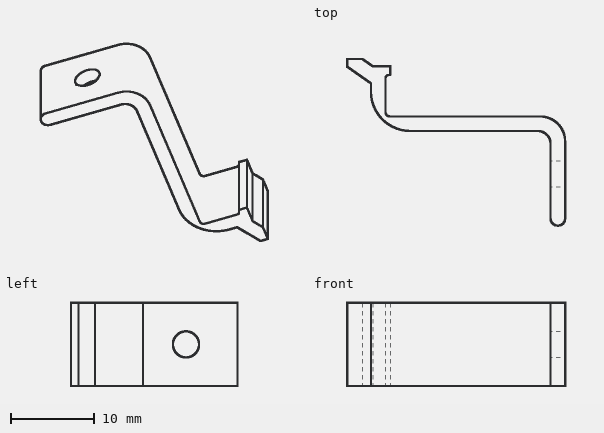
import cadquery as cq
import math

length = 26.1
depth = 19.97
height = 10.0

thickness = 1.78
wall_x = 2.82
wall_inner_x = wall_x + thickness
web_y = 11.33
web_back_y = web_y + thickness
leg_x = length - thickness

hook_outer_radius = 4.75
hook_inner_radius = 0.5
leg_inner_radius = 1.5
leg_outer_radius = 3.0
tip_radius = thickness / 2

nose_height = 0.95
nose_top_width = 1.83
head_step = 0.85
nose_angle = math.radians(35)
lip_width = 0.57
lip_height = 1.07
lip_root_radius = 0.37
lip_edge_radius = 0.15

hole_diameter = 3.1
hole_y = 6.2

head_y = depth - head_step
lip_x = wall_inner_x + lip_width
lip_under_y = head_y - lip_height
step_x = nose_top_width + head_step / math.tan(nose_angle)
nose_root_y = depth - nose_height - wall_x * math.tan(nose_angle)


def make_strip():
    """Extrude the constant profile, then round its bends."""
    profile = (
        cq.Workplane("XY")
        .moveTo(0, depth)
        .lineTo(nose_top_width, depth)
        .lineTo(step_x, head_y)
        .lineTo(lip_x, head_y)
        .lineTo(lip_x, lip_under_y)
        .lineTo(wall_inner_x, lip_under_y)
        .lineTo(wall_inner_x, web_back_y)
        .lineTo(length, web_back_y)
        .lineTo(length, tip_radius)
        .threePointArc((length - tip_radius, 0), (leg_x, tip_radius))
        .lineTo(leg_x, web_y)
        .lineTo(wall_x, web_y)
        .lineTo(wall_x, nose_root_y)
        .lineTo(0, depth - nose_height)
        .close()
    )
    strip = profile.extrude(height)
    rounded_corners = [
        (wall_x, web_y, hook_outer_radius),
        (wall_inner_x, web_back_y, hook_inner_radius),
        (leg_x, web_y, leg_inner_radius),
        (length, web_back_y, leg_outer_radius),
        (wall_inner_x, lip_under_y, lip_root_radius),
        (lip_x, lip_under_y, lip_edge_radius),
    ]
    for x, y, radius in rounded_corners:
        corner = cq.selectors.NearestToPointSelector((x, y, height / 2))
        strip = strip.edges("|Z").edges(corner).fillet(radius)
    return strip


def make_leg_hole():
    """Cylinder along X that pierces the leg at mid height."""
    return (
        cq.Workplane("YZ", origin=(leg_x, hole_y, height / 2))
        .circle(hole_diameter / 2)
        .extrude(thickness)
    )


result = make_strip().cut(make_leg_hole())